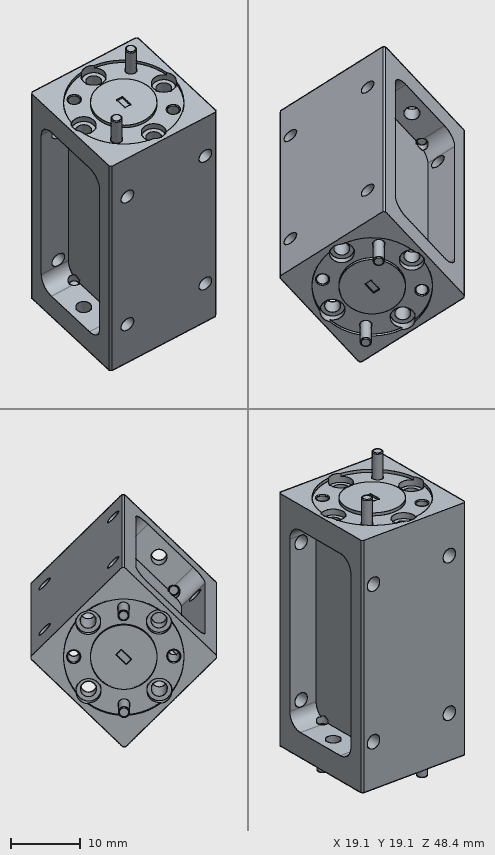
import cadquery as cq
import math

TOTAL_LENGTH = 48.4
BLOCK_WIDTH = 19.05
BLOCK_LENGTH = 40.85
EDGE_CHAMFER = 0.3

BOLT_CIRCLE_RADIUS = 7.15
RECESS_DIAMETER = 17.25
BOSS_DIAMETER = 9.55
RECESS_DEPTH = 0.5
SLOT_LENGTH = 2.05
SLOT_WIDTH = 1.05
SLOT_DEPTH = 0.3
SCREW_HOLE_DIAMETER = 2.27
SCREW_BORE_DIAMETER = 3.6
SCREW_BORE_DEPTH = 1.45
BLIND_SCREW_DEPTH = 6.77
DRILL_POINT_ANGLE = 118.0

PIN_DIAMETER = 1.6
PIN_CHAMFER = 0.15
PIN_LENGTH = 7.25
PIN_HOLE_DIAMETER = 1.75
PIN_HOLE_DEPTH = 4.6
FREE_HOLE_MOUTH_DIAMETER = 2.05

POCKET_WIDTH = 13.95
POCKET_LENGTH = 32.7
POCKET_DEPTH = 4.85
POCKET_CORNER_RADIUS = 2.4

CROSS_HOLE_DIAMETER = 2.27
CROSS_HOLE_SPACING_Z = 25.5
CROSS_HOLE_Y_POSITIONS = (7.45, -6.5)

HALF_LENGTH = BLOCK_LENGTH / 2
HALF_WIDTH = BLOCK_WIDTH / 2
DOWEL_OFFSET = BOLT_CIRCLE_RADIUS * math.cos(math.radians(45))
PIN_POINTS = [(-DOWEL_OFFSET, DOWEL_OFFSET), (DOWEL_OFFSET, -DOWEL_OFFSET)]
FREE_HOLE_POINTS = [(-DOWEL_OFFSET, -DOWEL_OFFSET), (DOWEL_OFFSET, DOWEL_OFFSET)]
BLIND_SCREW_POINTS = [(-BOLT_CIRCLE_RADIUS, 0), (BOLT_CIRCLE_RADIUS, 0)]
POCKET_SCREW_POINTS = [(0, -BOLT_CIRCLE_RADIUS), (0, BOLT_CIRCLE_RADIUS)]


def turn_to_lower_end(shape):
    """Half a turn about X carries upper-end geometry to the lower end."""
    return shape.rotate((0, 0, 0), (1, 0, 0), 180)


def drill_cutter(points, diameter, depth):
    """Drilled holes from the upper end face, each with a conical point."""
    radius = diameter / 2
    point_height = radius / math.tan(math.radians(DRILL_POINT_ANGLE / 2))
    profile = (
        cq.Workplane("XZ")
        .moveTo(0, HALF_LENGTH)
        .lineTo(radius, HALF_LENGTH)
        .lineTo(radius, HALF_LENGTH - depth)
        .lineTo(0, HALF_LENGTH - depth - point_height)
        .close()
    )
    drill = profile.revolve(360, (0, 0, 0), (0, 1, 0)).val()
    return cq.Workplane("XY").pushPoints(points).eachpoint(lambda place: drill.moved(place))


def from_end_face(depth=0.0):
    """Workplane parallel to the upper end face, a given depth below it."""
    return cq.Workplane("XY").workplane(offset=HALF_LENGTH - depth)


def make_end_cutter():
    """Everything removed from the upper end of the block."""
    recess = from_end_face().circle(RECESS_DIAMETER / 2).circle(BOSS_DIAMETER / 2).extrude(-RECESS_DEPTH)
    slot = from_end_face().rect(SLOT_LENGTH, SLOT_WIDTH).extrude(-SLOT_DEPTH)
    screw_bores = (
        from_end_face()
        .pushPoints(BLIND_SCREW_POINTS + POCKET_SCREW_POINTS)
        .circle(SCREW_BORE_DIAMETER / 2)
        .extrude(-SCREW_BORE_DEPTH)
    )
    blind_screws = drill_cutter(BLIND_SCREW_POINTS, SCREW_HOLE_DIAMETER, BLIND_SCREW_DEPTH)
    pocket_screws = (
        from_end_face()
        .pushPoints(POCKET_SCREW_POINTS)
        .circle(SCREW_HOLE_DIAMETER / 2)
        .extrude(-HALF_LENGTH)
    )
    dowel_holes = drill_cutter(PIN_POINTS + FREE_HOLE_POINTS, PIN_HOLE_DIAMETER, PIN_HOLE_DEPTH)
    mouth_depth = (FREE_HOLE_MOUTH_DIAMETER - PIN_HOLE_DIAMETER) / 2
    mouths = (
        from_end_face(RECESS_DEPTH)
        .pushPoints(FREE_HOLE_POINTS)
        .circle(FREE_HOLE_MOUTH_DIAMETER / 2)
        .extrude(-mouth_depth, taper=45)
    )
    cutter = recess
    for feature in (slot, screw_bores, blind_screws, pocket_screws, dowel_holes, mouths):
        cutter = cutter.union(feature)
    return cutter


def make_pocket_cutter():
    """Rounded pocket on the -Y side."""
    return (
        cq.Workplane("XZ", origin=(0, -HALF_WIDTH, 0))
        .rect(POCKET_WIDTH, POCKET_LENGTH)
        .extrude(-POCKET_DEPTH)
        .edges("|Y")
        .fillet(POCKET_CORNER_RADIUS)
    )


def make_cross_hole_cutter():
    """Four holes through the block along X."""
    points = [
        (y, side * CROSS_HOLE_SPACING_Z / 2)
        for y in CROSS_HOLE_Y_POSITIONS
        for side in (-1, 1)
    ]
    return (
        cq.Workplane("YZ")
        .pushPoints(points)
        .circle(CROSS_HOLE_DIAMETER / 2)
        .extrude(HALF_WIDTH, both=True)
    )


def make_block():
    """Square block with both flange ends, both pockets and the cross holes."""
    block = (
        cq.Workplane("XY")
        .box(BLOCK_WIDTH, BLOCK_WIDTH, BLOCK_LENGTH)
        .edges("|Z")
        .chamfer(EDGE_CHAMFER)
    )
    for cutter in (make_end_cutter(), make_pocket_cutter()):
        block = block.cut(cutter).cut(turn_to_lower_end(cutter))
    return block.cut(make_cross_hole_cutter())


def make_upper_pin(point):
    """Dowel pin standing in the upper end, chamfered at both tips."""
    return (
        cq.Workplane("XY", origin=(*point, TOTAL_LENGTH / 2))
        .circle(PIN_DIAMETER / 2)
        .extrude(-PIN_LENGTH)
        .faces("<Z or >Z")
        .chamfer(PIN_CHAMFER)
    )


block = make_block()

pins = []
for pin_point in PIN_POINTS:
    upper_pin = make_upper_pin(pin_point)
    pins.append(upper_pin.val())
    pins.append(turn_to_lower_end(upper_pin).val())

result = cq.Compound.makeCompound([block.val(), *pins])